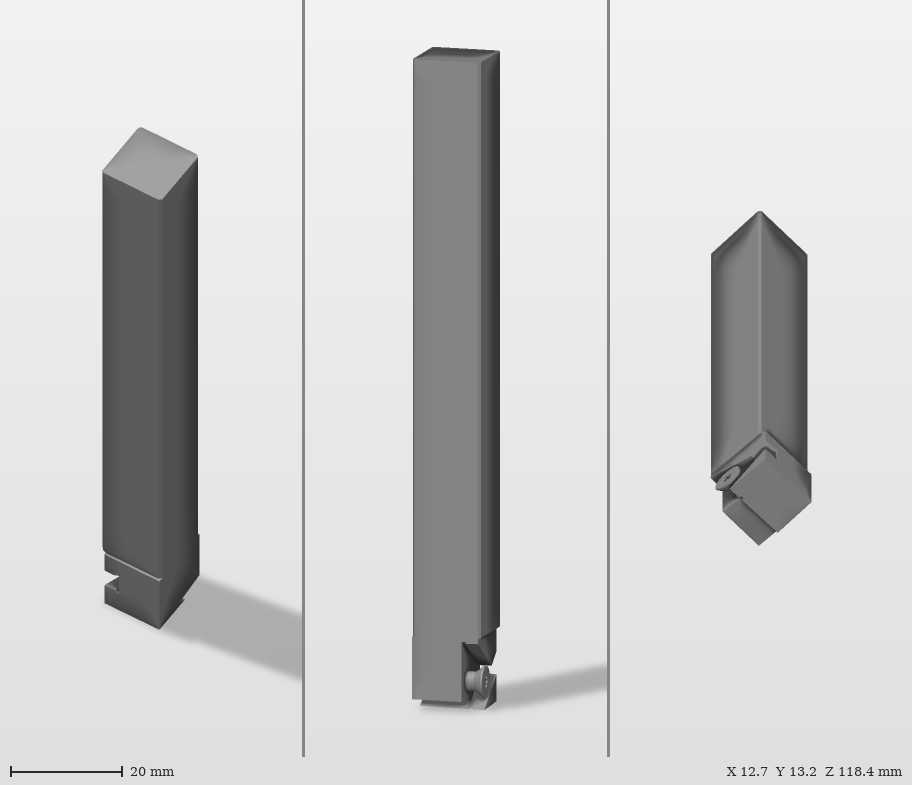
import cadquery as cq
import math

total_length = 118.4
shank_side = 12.7
shank_chamfer = 0.5

head_height = 13.5
head_proud = 0.5
head_front = -head_proud
head_depth = shank_side + head_proud
bottom_rise = 0.1

face_inset = 1.0
face_lean = 2.5
bevel_top = 13.9
bevel_bottom = 13.5
bevel_depth = 1.2

pocket_slope = math.tan(math.radians(30))
apex_y = 2.8
apex_z = 7.1
jaw_front_z = 5.0
jaw_tip_y = head_front + jaw_front_z / pocket_slope
heel_z = 2.1
heel_y = 6.2
pocket_depth = 3.1
relief_width = 0.4
relief_height = 0.7

screw_y = 8.4
screw_z = 5.2
screw_head_radius = 2.8
screw_shank_radius = 1.8
screw_face = -0.4
rim_thickness = 0.4
cone_length = 1.4
screw_embedment = 3.5
socket_lobes = 6
socket_core_radius = 0.8
lobe_radius = 0.4
socket_depth = 1.4

overrun = 2.4


def lean(shape):
    """Move a shape from leaning-face coordinates (face at X = 0) into place."""
    pivot = (0, head_front, 0)
    pivot_end = (0, head_front, 1)
    return shape.rotate(pivot, pivot_end, face_lean).translate((face_inset, 0, 0))


def extrude_along_x(points, start, length):
    """Extrude a (Y, Z) outline in +X."""
    return cq.Workplane("YZ").workplane(offset=start).polyline(points).close().extrude(length)


def jaw_z(y):
    """Height of the sloping top of the lower jaw."""
    return jaw_front_z - (y - head_front) * pocket_slope


def make_shank():
    return (
        cq.Workplane("XY")
        .workplane(offset=head_height)
        .rect(shank_side, shank_side)
        .extrude(total_length - head_height)
        .edges("|Z")
        .chamfer(shank_chamfer)
        .translate((shank_side / 2, shank_side / 2, 0))
    )


def make_head():
    outline = [
        (head_front, 0),
        (jaw_tip_y, 0),
        (heel_y, jaw_z(heel_y)),
        (shank_side, heel_z),
        (shank_side, head_height),
        (head_front, head_height),
    ]
    head = extrude_along_x(outline, 0, shank_side)
    bottom_wedge = (
        cq.Workplane("XZ", origin=(0, head_front, 0))
        .polyline([(0, 0), (shank_side, 0), (shank_side, bottom_rise)])
        .close()
        .extrude(-head_depth)
    )
    return head.cut(bottom_wedge)


def face_cutter():
    """Material removed outside the leaning face, below the runout bevel."""
    below_bevel = (
        cq.Workplane("XZ", origin=(0, head_front - overrun, 0))
        .polyline([
            (0, -overrun),
            (bevel_depth, -overrun),
            (bevel_depth, bevel_bottom),
            (0, bevel_top),
        ])
        .close()
        .extrude(-(head_depth + 2 * overrun))
    )
    outside = cq.Workplane("XY").box(
        overrun,
        head_depth + 2 * overrun,
        head_height + 3 * overrun,
        centered=False,
    ).translate((-overrun, head_front - overrun, -overrun))
    return below_bevel.intersect(lean(outside))


def pocket_outline(growth):
    """Pocket outline in (Y, Z), its walls moved outwards vertically by growth."""
    y_min = head_front - overrun
    y_max = shank_side + overrun
    return [
        (y_min, jaw_z(y_min) - growth),
        (y_max, jaw_z(y_max) - growth),
        (y_max, apex_z + (y_max - apex_y) * pocket_slope + growth),
        (apex_y, apex_z + growth),
        (y_min, apex_z + (apex_y - y_min) * pocket_slope + growth),
    ]


def pocket_cutter():
    opening = extrude_along_x(pocket_outline(0), -overrun, overrun + pocket_depth)
    relief = extrude_along_x(pocket_outline(relief_width), pocket_depth - relief_height, relief_height)
    return lean(opening.union(relief))


def make_screw():
    rim_end = screw_face + rim_thickness
    shank_start = rim_end + cone_length
    shank_end = pocket_depth + screw_embedment
    half_section = [
        (screw_face, 0),
        (screw_face, screw_head_radius),
        (rim_end, screw_head_radius),
        (shank_start, screw_shank_radius),
        (shank_end, screw_shank_radius),
        (shank_end, 0),
    ]
    screw = cq.Workplane("XY").polyline(half_section).close().revolve(360, (0, 0, 0), (1, 0, 0))
    socket_plane = cq.Workplane("YZ").workplane(offset=screw_face)
    socket = socket_plane.circle(socket_core_radius).extrude(socket_depth)
    lobes = (
        socket_plane
        .polarArray(socket_core_radius, 0, 360, socket_lobes)
        .circle(lobe_radius)
        .extrude(socket_depth)
    )
    screw = screw.cut(socket.union(lobes))
    return lean(screw.translate((0, screw_y, screw_z)))


def screw_hole():
    hole = (
        cq.Workplane("YZ", origin=(0, screw_y, screw_z))
        .workplane(offset=pocket_depth)
        .circle(screw_shank_radius)
        .extrude(screw_embedment)
    )
    return lean(hole)


holder = make_shank().union(make_head())
for cutter in (face_cutter(), pocket_cutter(), screw_hole()):
    holder = holder.cut(cutter)
screw = make_screw()

result = cq.Compound.makeCompound([holder.val(), screw.val()])